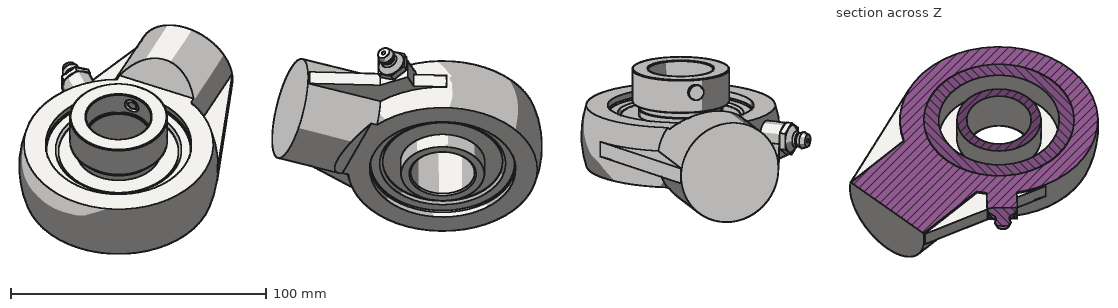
import cadquery as cq
import math


HOUSING_WIDTH = 24.2
HOUSING_SPHERE_RADIUS = 39.0
HOUSING_MOUTH_DIAMETER = 57.1
HOUSING_LEDGE_HEIGHT = 0.6
SHANK_DIAMETER = 40.0
SHANK_END_Y = 63.8
SHANK_BEVEL_START_Y = 43.8
WEB_THICKNESS = 6.0
WEB_SETBACK = 0.6

NIPPLE_ANGLE = 135.0
NIPPLE_AXIS_Z = 4.1
BOSS_RADIUS = 6.0
BOSS_ROOT = 33.9
BOSS_END = 46.5
HEX_ACROSS_FLATS = 11.1
HEX_HEIGHT = 2.5
NIPPLE_BASE_RADIUS = 5.3
NIPPLE_CONE_START = 49.7
NIPPLE_CONE_RADIUS = 4.4
NIPPLE_NECK_RADIUS = 2.7
NIPPLE_HEAD_RADIUS = 3.3
NIPPLE_TIP_RADIUS = 2.5
NIPPLE_FLARE_AT = 50.8
NIPPLE_FLARE_RADIUS = 3.2
NIPPLE_NECK_START = 51.7
NIPPLE_NECK_END = 52.3
NIPPLE_HEAD_AT = 54.0
NIPPLE_TIP_AT = 56.0
NIPPLE_BALL_DIAMETER = 1.5
NIPPLE_BALL_RISE = 0.3

OUTER_RING_WIDTH = 18.1
OUTER_RING_FACE_DIAMETER = 56.3
OUTER_RING_BORE = 47.0
OUTER_RING_MOUTH = 49.3

INNER_RING_DIAMETER = 33.0
INNER_RING_BORE = 25.0
INNER_RING_BOTTOM_Z = -14.4
INNER_RING_SHOULDER_Z = 13.2
INNER_RING_TOP_Z = 17.2
NOSE_DIAMETER = 30.7
INNER_BORE_CHAMFER = 0.6
GROOVE_BOTTOM_Z = 10.7
GROOVE_WIDTH = 0.3
GROOVE_DEPTH = 0.3
INNER_RIM_CHAMFER_HEIGHT = 1.0
INNER_RIM_CHAMFER_DEPTH = 0.26

SEAL_THICKNESS = 1.0
SEAL_FACE_Z = 8.2

COLLAR_DIAMETER = 38.1
COLLAR_BORE = 25.4
COLLAR_BOTTOM_Z = 13.5
COLLAR_TOP_Z = 26.9
COLLAR_CHAMFER = 0.36
SCREW_DIAMETER = 6.0
SCREW_AXIS_Z = 21.9
SCREW_TIP_Y = 12.8
SCREW_HEAD_Y = 20.6
SCREW_TIP_CHAMFER = 1.2

housing_half_width = HOUSING_WIDTH / 2
shank_radius = SHANK_DIAMETER / 2
outer_ring_half_width = OUTER_RING_WIDTH / 2
seat_sphere_radius = math.hypot(OUTER_RING_FACE_DIAMETER / 2, outer_ring_half_width)


def tube(outer_diameter, inner_diameter, bottom_z, top_z):
    """Plain ring around the bearing axis."""
    base = cq.Workplane("XY", origin=(0, 0, bottom_z))
    profile = base.circle(outer_diameter / 2).circle(inner_diameter / 2)
    return profile.extrude(top_z - bottom_z)


def barrel(sphere_radius, half_width):
    """Solid slice of a sphere between two faces square to Z."""
    face_radius = math.sqrt(sphere_radius**2 - half_width**2)
    profile = (
        cq.Workplane("XZ")
        .moveTo(0, -half_width)
        .lineTo(-face_radius, -half_width)
        .threePointArc((-sphere_radius, 0), (-face_radius, half_width))
        .lineTo(0, half_width)
        .close()
    )
    return profile.revolve(360, (0, 0, 0), (0, 1, 0))


def along_nipple_axis(body):
    """Turn a body built along +X into place on the grease nipple axis."""
    return body.rotate((0, 0, 0), (0, 0, 1), NIPPLE_ANGLE).translate((0, 0, NIPPLE_AXIS_Z))


def make_shank():
    """Round shank along +Y, bevelled at 45 degrees down to the housing faces."""
    cylinder = cq.Workplane("XZ").circle(shank_radius).extrude(-SHANK_END_Y)
    bevel_foot_y = SHANK_BEVEL_START_Y - (shank_radius - housing_half_width)
    side_outline = [
        (0, housing_half_width),
        (bevel_foot_y, housing_half_width),
        (SHANK_BEVEL_START_Y, shank_radius),
        (SHANK_END_Y, shank_radius),
        (SHANK_END_Y, -shank_radius),
        (SHANK_BEVEL_START_Y, -shank_radius),
        (bevel_foot_y, -housing_half_width),
        (0, -housing_half_width),
    ]
    side_limit = cq.Workplane("YZ").polyline(side_outline).close().extrude(shank_radius, both=True)
    return cylinder.intersect(side_limit)


def make_web():
    """Flat web whose slanted sides run from the shank end tangent to the housing."""
    top_y = SHANK_END_Y - WEB_SETBACK
    corner_distance = math.hypot(shank_radius, top_y)
    tangent_angle = math.atan2(top_y, shank_radius) - math.acos(HOUSING_SPHERE_RADIUS / corner_distance)
    tangent_x = HOUSING_SPHERE_RADIUS * math.cos(tangent_angle)
    tangent_y = HOUSING_SPHERE_RADIUS * math.sin(tangent_angle)
    outline = [
        (-tangent_x, tangent_y),
        (-shank_radius, top_y),
        (shank_radius, top_y),
        (tangent_x, tangent_y),
    ]
    return cq.Workplane("XY").polyline(outline).close().extrude(WEB_THICKNESS / 2, both=True)


def make_grease_boss():
    """Boss with a round top and straight sides going down to the underside of the web."""
    length = BOSS_END - BOSS_ROOT
    depth = NIPPLE_AXIS_Z + WEB_THICKNESS / 2
    section = cq.Workplane("YZ", origin=(BOSS_ROOT, 0, 0))
    boss = (
        section.moveTo(-BOSS_RADIUS, -depth)
        .lineTo(-BOSS_RADIUS, 0)
        .threePointArc((0, BOSS_RADIUS), (BOSS_RADIUS, 0))
        .lineTo(BOSS_RADIUS, -depth)
        .close()
        .extrude(length)
    )
    return along_nipple_axis(boss)


def make_bearing_mouth():
    """Opening above the outer ring, with a small conical ledge down to the ring face."""
    mouth_radius = HOUSING_MOUTH_DIAMETER / 2
    outline = [
        (0, outer_ring_half_width),
        (OUTER_RING_FACE_DIAMETER / 2, outer_ring_half_width),
        (mouth_radius, outer_ring_half_width + HOUSING_LEDGE_HEIGHT),
        (mouth_radius, housing_half_width),
        (0, housing_half_width),
    ]
    return cq.Workplane("XZ").polyline(outline).close().revolve(360, (0, 0, 0), (0, 1, 0))


def make_housing():
    """Barrel-shaped eye with shank, web and grease boss, hollowed for the outer ring."""
    solid = barrel(HOUSING_SPHERE_RADIUS, housing_half_width)
    solid = solid.union(make_shank()).union(make_web()).union(make_grease_boss())
    mouth = make_bearing_mouth()
    seat = barrel(seat_sphere_radius, outer_ring_half_width)
    return solid.cut(mouth).cut(mouth.mirror("XY")).cut(seat)


def make_outer_ring():
    """Outer ring with a spherical outside and a chamfered bore."""
    ring = barrel(seat_sphere_radius, outer_ring_half_width)
    bore = cq.Workplane("XY").circle(OUTER_RING_BORE / 2).extrude(OUTER_RING_WIDTH, both=True)
    mouth_chamfer = (OUTER_RING_MOUTH - OUTER_RING_BORE) / 2
    return ring.cut(bore).edges(cq.selectors.RadiusNthSelector(0)).chamfer(mouth_chamfer)


def make_inner_ring():
    """Grooved inner ring with a narrower nose that carries the collar."""
    ring = tube(INNER_RING_DIAMETER, INNER_RING_BORE, INNER_RING_BOTTOM_Z, INNER_RING_SHOULDER_Z)
    outer_rim = cq.selectors.RadiusNthSelector(-1)
    ring = ring.faces("<Z").edges(outer_rim).chamfer(INNER_RIM_CHAMFER_HEIGHT, INNER_RIM_CHAMFER_DEPTH)
    nose = tube(NOSE_DIAMETER, INNER_RING_BORE, INNER_RING_SHOULDER_Z, INNER_RING_TOP_Z)
    groove_floor = INNER_RING_DIAMETER - 2 * GROOVE_DEPTH
    groove = tube(INNER_RING_DIAMETER, groove_floor, GROOVE_BOTTOM_Z, GROOVE_BOTTOM_Z + GROOVE_WIDTH)
    bore_rims = cq.selectors.RadiusNthSelector(0)
    return ring.union(nose).cut(groove).faces("<Z or >Z").edges(bore_rims).chamfer(INNER_BORE_CHAMFER)


def make_seals():
    """One flat seal between the rings at each end of the bearing."""
    upper = tube(OUTER_RING_BORE, INNER_RING_DIAMETER, SEAL_FACE_Z - SEAL_THICKNESS, SEAL_FACE_Z)
    return [upper, upper.mirror("XY")]


def make_collar():
    """Locking collar, recessed for the nose of the inner ring and drilled for the set screw."""
    collar = tube(COLLAR_DIAMETER, COLLAR_BORE, COLLAR_BOTTOM_Z, COLLAR_TOP_Z)
    collar = collar.faces("<Z or >Z").edges().chamfer(COLLAR_CHAMFER)
    recess = cq.Workplane("XY").circle(NOSE_DIAMETER / 2).extrude(INNER_RING_TOP_Z)
    screw_axis = cq.Workplane("XZ", origin=(0, 0, SCREW_AXIS_Z))
    screw_hole = screw_axis.circle(SCREW_DIAMETER / 2).extrude(-COLLAR_DIAMETER)
    return collar.cut(recess).cut(screw_hole)


def make_set_screw():
    """Set screw along Y with a chamfered tip at the collar bore."""
    shaft = cq.Workplane("XZ", origin=(0, SCREW_TIP_Y, SCREW_AXIS_Z)).circle(SCREW_DIAMETER / 2)
    return shaft.extrude(SCREW_TIP_Y - SCREW_HEAD_Y).faces("<Y").chamfer(SCREW_TIP_CHAMFER)


def make_grease_nipple():
    """Hexagon, cone, neck and head in one piece, with a ball cap standing out of the tip."""
    hexagon = cq.Workplane("YZ", origin=(BOSS_END, 0, 0)).polygon(6, HEX_ACROSS_FLATS, circumscribed=True)
    hexagon = hexagon.extrude(HEX_HEIGHT)
    ball_radius = NIPPLE_BALL_DIAMETER / 2
    cap_radius = (ball_radius**2 + NIPPLE_BALL_RISE**2) / (2 * NIPPLE_BALL_RISE)
    head = (
        cq.Workplane("XY")
        .moveTo(BOSS_END, 0)
        .lineTo(BOSS_END, NIPPLE_BASE_RADIUS)
        .lineTo(BOSS_END + HEX_HEIGHT, NIPPLE_BASE_RADIUS)
        .lineTo(NIPPLE_CONE_START, NIPPLE_CONE_RADIUS)
        .lineTo(NIPPLE_FLARE_AT, NIPPLE_FLARE_RADIUS)
        .lineTo(NIPPLE_NECK_START, NIPPLE_NECK_RADIUS)
        .lineTo(NIPPLE_NECK_END, NIPPLE_NECK_RADIUS)
        .lineTo(NIPPLE_HEAD_AT, NIPPLE_HEAD_RADIUS)
        .lineTo(NIPPLE_TIP_AT, NIPPLE_TIP_RADIUS)
        .lineTo(NIPPLE_TIP_AT, ball_radius)
        .radiusArc((NIPPLE_TIP_AT + NIPPLE_BALL_RISE, 0), cap_radius)
        .close()
        .revolve(360, (0, 0, 0), (1, 0, 0))
    )
    return along_nipple_axis(hexagon.union(head))


housing = make_housing()
outer_ring = make_outer_ring()
inner_ring = make_inner_ring()
seals = make_seals()
collar = make_collar()
set_screw = make_set_screw()
grease_nipple = make_grease_nipple()

result = cq.Compound.makeCompound(
    [
        housing.val(),
        outer_ring.val(),
        inner_ring.val(),
        *[seal.val() for seal in seals],
        collar.val(),
        set_screw.val(),
        grease_nipple.val(),
    ]
)